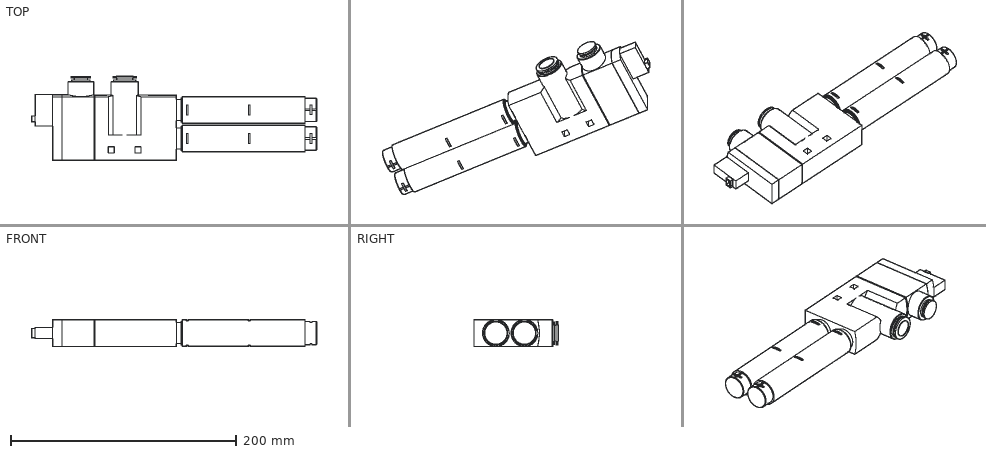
import cadquery as cq
import math


BLOCK_LENGTH = 110.0
BLOCK_HEIGHT = 24.0
REAR_EDGE_Y = 56.5
LEFT_CROWN_Y = 58.4
RIGHT_CROWN_Y = 58.1
HALF_HEIGHT = BLOCK_HEIGHT / 2

SEAM_X = 8.3
SEAM_WIDTH = 0.2
SEAM_DEPTH = 0.1
JOINT_X = 37.0
JOINT_WIDTH = 0.7
JOINT_DEPTH = 0.4

CONNECTOR_LENGTH = 15.4
CONNECTOR_FRONT_Y = 30.4
CONNECTOR_REAR_Y = 58.6
CONNECTOR_HEIGHT = 10.0

SOCKET_LENGTH = 3.1
SOCKET_FRONT_Y = 34.2
SOCKET_WIDTH = 5.4
SOCKET_HEIGHT = 8.6
SOCKET_FRONT_WALL = 0.9
SOCKET_REAR_WALL = 0.3
SOCKET_SIDE_WALL = 1.1

FITTING_BODY_TOP = 70.0
FITTING_ROOT_Y = 50.0
FITTING_CHAMFER = 0.5
FLANGE_TOP = 71.5
DISC_BOTTOM = 73.0
DISC_TOP = 74.5
SMALL_FITTING_X = 25.2
SMALL_BODY_DIAMETER = 23.0
SMALL_FLANGE_DIAMETER = 16.5
SMALL_NECK_DIAMETER = 12.0
SMALL_DISC_DIAMETER = 17.5
LARGE_FITTING_X = 64.1
LARGE_BODY_DIAMETER = 24.4
LARGE_FLANGE_DIAMETER = 19.95
LARGE_NECK_DIAMETER = 14.4
LARGE_DISC_DIAMETER = 21.0
LARGE_SLEEVE_TOP = 75.1

POCKET_FRONT_Y = 22.6
POCKET_HALF_WIDTH = 14.5
POCKET_FLOOR_OFFSET = 10.3
POCKET_WALL_BULGE = 0.3

HOLE_SIZE = 5.2
HOLE_CENTER_Y = 9.3

MUFFLER_CENTERS_Y = (19.45, 44.8)
MUFFLER_NECK_DIAMETER = 18.9
MUFFLER_COLLAR_DIAMETER = 21.0
MUFFLER_BODY_DIAMETER = 23.8
MUFFLER_CAP_DIAMETER = 21.0
MUFFLER_COLLAR_X = 114.2
MUFFLER_BODY_X = 115.0
MUFFLER_CAP_X = 224.5
MUFFLER_END_X = 234.8
MUFFLER_BODY_CHAMFER = 0.5
MUFFLER_CAP_CHAMFER = 0.6

SLOT_PITCH = 55.0
FIRST_SLOT_X = 119.7
SLOT_WIDTH = 1.6
SLOT_LENGTH = 9.2
SLOT_DEPTH = 0.9
CAP_SLOT_WIDTH = 1.4
CAP_SLOT_DEPTH = 0.3


def box(x_range, y_range, z_range):
    """Box between the given limits along each axis."""
    sizes = [high - low for low, high in (x_range, y_range, z_range)]
    corner = (x_range[0], y_range[0], z_range[0])
    return cq.Workplane("XY").box(*sizes, centered=False).translate(corner)


def centered_range(center, size):
    return (center - size / 2, center + size / 2)


def block_bar(x_start, length, crown_y, inset=0.0):
    """Length of the block section, optionally shrunk by an inset all around."""
    half_height = HALF_HEIGHT - inset
    return (
        cq.Workplane("YZ", origin=(x_start, 0, 0))
        .moveTo(inset, -half_height)
        .lineTo(REAR_EDGE_Y - inset, -half_height)
        .threePointArc((crown_y - inset, 0), (REAR_EDGE_Y - inset, half_height))
        .lineTo(inset, half_height)
        .close()
        .extrude(length)
    )


def make_block():
    """Full-size bars joined by the thinner bars that form the groove floors."""
    seam_end = SEAM_X + SEAM_WIDTH
    joint_end = JOINT_X + JOINT_WIDTH
    block = block_bar(0, SEAM_X, LEFT_CROWN_Y)
    block = block.union(block_bar(SEAM_X, SEAM_WIDTH, LEFT_CROWN_Y, SEAM_DEPTH))
    block = block.union(block_bar(seam_end, JOINT_X - seam_end, LEFT_CROWN_Y))
    block = block.union(block_bar(JOINT_X, JOINT_WIDTH, RIGHT_CROWN_Y, JOINT_DEPTH))
    return block.union(block_bar(joint_end, BLOCK_LENGTH - joint_end, RIGHT_CROWN_Y))


def make_connector():
    connector_z = centered_range(0, CONNECTOR_HEIGHT)
    connector = box((-CONNECTOR_LENGTH, 0), (CONNECTOR_FRONT_Y, CONNECTOR_REAR_Y), connector_z)
    tip_x = -CONNECTOR_LENGTH - SOCKET_LENGTH
    socket_rear_y = SOCKET_FRONT_Y + SOCKET_WIDTH
    socket_x = (tip_x, -CONNECTOR_LENGTH)
    socket = box(socket_x, (SOCKET_FRONT_Y, socket_rear_y), centered_range(0, SOCKET_HEIGHT))
    recess = box(
        socket_x,
        (SOCKET_FRONT_Y + SOCKET_FRONT_WALL, socket_rear_y - SOCKET_REAR_WALL),
        centered_range(0, SOCKET_HEIGHT - 2 * SOCKET_SIDE_WALL),
    )
    return connector.union(socket.cut(recess))


def fitting_disc(x, y_start, y_end, diameter):
    """Round section along Y."""
    plane = cq.Plane(origin=(x, y_start, 0), xDir=(1, 0, 0), normal=(0, 1, 0))
    return cq.Workplane(plane).circle(diameter / 2).extrude(y_end - y_start)


def make_fitting(x, root_y, body, flange, neck, disc, sleeve_top):
    """Fitting made of stacked round sections; the neck runs up to sleeve_top."""
    fitting = fitting_disc(x, root_y, FITTING_BODY_TOP, body).faces(">Y").chamfer(FITTING_CHAMFER)
    fitting = fitting.union(fitting_disc(x, FITTING_BODY_TOP, FLANGE_TOP, flange))
    fitting = fitting.union(fitting_disc(x, FLANGE_TOP, sleeve_top, neck))
    return fitting.union(fitting_disc(x, DISC_BOTTOM, DISC_TOP, disc))


def make_small_fitting():
    return make_fitting(
        SMALL_FITTING_X,
        FITTING_ROOT_Y,
        SMALL_BODY_DIAMETER,
        SMALL_FLANGE_DIAMETER,
        SMALL_NECK_DIAMETER,
        SMALL_DISC_DIAMETER,
        DISC_TOP,
    )


def make_large_fitting():
    """Large fitting, flattened level with the top and bottom of the block."""
    fitting = make_fitting(
        LARGE_FITTING_X,
        POCKET_FRONT_Y,
        LARGE_BODY_DIAMETER,
        LARGE_FLANGE_DIAMETER,
        LARGE_NECK_DIAMETER,
        LARGE_DISC_DIAMETER,
        LARGE_SLEEVE_TOP,
    )
    limits = box(
        centered_range(LARGE_FITTING_X, LARGE_BODY_DIAMETER),
        (POCKET_FRONT_Y, LARGE_SLEEVE_TOP),
        centered_range(0, BLOCK_HEIGHT),
    )
    return fitting.intersect(limits)


def make_relief_pockets():
    """Cutter for the reliefs above and below the large fitting, with bulging side walls."""
    floor_z = math.sqrt((LARGE_BODY_DIAMETER / 2) ** 2 - POCKET_FLOOR_OFFSET ** 2)
    wall_run = POCKET_HALF_WIDTH - POCKET_FLOOR_OFFSET
    wall_rise = HALF_HEIGHT - floor_z
    wall_length = math.hypot(wall_run, wall_rise)
    wall_mid_x = (POCKET_HALF_WIDTH + POCKET_FLOOR_OFFSET) / 2 - POCKET_WALL_BULGE * wall_rise / wall_length
    wall_mid_z = (HALF_HEIGHT + floor_z) / 2 + POCKET_WALL_BULGE * wall_run / wall_length
    upper = (
        cq.Workplane("XZ", origin=(LARGE_FITTING_X, RIGHT_CROWN_Y, 0))
        .moveTo(-POCKET_HALF_WIDTH, HALF_HEIGHT)
        .threePointArc((-wall_mid_x, wall_mid_z), (-POCKET_FLOOR_OFFSET, floor_z))
        .lineTo(POCKET_FLOOR_OFFSET, floor_z)
        .threePointArc((wall_mid_x, wall_mid_z), (POCKET_HALF_WIDTH, HALF_HEIGHT))
        .close()
        .extrude(RIGHT_CROWN_Y - POCKET_FRONT_Y)
    )
    return upper.union(upper.mirror("XY"))


def make_mounting_holes():
    """Square through holes whose outer sides line up with the relief pockets."""
    offset = POCKET_HALF_WIDTH - HOLE_SIZE / 2
    centers = [(LARGE_FITTING_X + side * offset, HOLE_CENTER_Y) for side in (-1, 1)]
    return (
        cq.Workplane("XY", origin=(0, 0, -HALF_HEIGHT))
        .pushPoints(centers)
        .rect(HOLE_SIZE, HOLE_SIZE)
        .extrude(BLOCK_HEIGHT)
    )


def muffler_section(y, x_start, x_end, diameter):
    """Round section along X."""
    plane = cq.Plane(origin=(x_start, y, 0), xDir=(0, 0, 1), normal=(1, 0, 0))
    return cq.Workplane(plane).circle(diameter / 2).extrude(x_end - x_start)


def cut_mirrored_slot(muffler, x_range, y_range, floor_z):
    """Cut a flat-floored slot into the top and bottom of a muffler."""
    slot = box(x_range, y_range, (floor_z, MUFFLER_BODY_DIAMETER / 2))
    return muffler.cut(slot).cut(slot.mirror("XY"))


def make_muffler(y):
    body_radius = MUFFLER_BODY_DIAMETER / 2
    cap_radius = MUFFLER_CAP_DIAMETER / 2
    neck = muffler_section(y, BLOCK_LENGTH, MUFFLER_COLLAR_X, MUFFLER_NECK_DIAMETER)
    collar = muffler_section(y, MUFFLER_COLLAR_X, MUFFLER_BODY_X, MUFFLER_COLLAR_DIAMETER)
    body = muffler_section(y, MUFFLER_BODY_X, MUFFLER_CAP_X, MUFFLER_BODY_DIAMETER)
    body = body.faces("<X").chamfer(MUFFLER_BODY_CHAMFER)
    cap = muffler_section(y, MUFFLER_CAP_X, MUFFLER_END_X, MUFFLER_CAP_DIAMETER)
    cap = cap.faces(">X").chamfer(MUFFLER_CAP_CHAMFER)
    muffler = neck.union(collar).union(body).union(cap)

    slot_y = centered_range(y, SLOT_LENGTH)
    for index, radius in enumerate((body_radius, body_radius, cap_radius)):
        slot_x = centered_range(FIRST_SLOT_X + index * SLOT_PITCH, SLOT_WIDTH)
        muffler = cut_mirrored_slot(muffler, slot_x, slot_y, radius - SLOT_DEPTH)

    cap_slot_y = centered_range(y, CAP_SLOT_WIDTH)
    return cut_mirrored_slot(muffler, (MUFFLER_CAP_X, MUFFLER_END_X), cap_slot_y, cap_radius - CAP_SLOT_DEPTH)


result = make_block().cut(make_relief_pockets()).cut(make_mounting_holes())
result = result.union(make_large_fitting()).union(make_small_fitting()).union(make_connector())
for muffler_y in MUFFLER_CENTERS_Y:
    result = result.union(make_muffler(muffler_y))